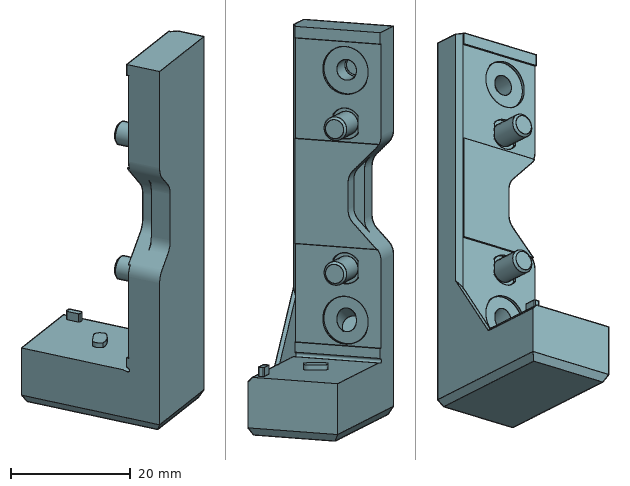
import cadquery as cq
import math

length = 26.0
width = 16.05
height = 66.0
foot_height = 9.95
foot_bevel_height = 1.3
foot_bevel_inset = 0.7

pad_x = 19.8
pad_rise = 0.3
face_x = pad_x + pad_rise
pad_spans = [(foot_height, 12.3), (29.05, 46.9), (64.0, height)]

relief_radius = 0.3
relief_x = pad_x + 0.2
relief_z = foot_height + 0.1
relief_floor_tilt = 13
relief_roof_tilt = 30

edge_bevel = 0.8
upright_bevel_run = 1.0
web_inner_y = width - edge_bevel
web_foot_x = 12.15
web_foot_z = foot_height - edge_bevel
web_slope = math.radians(53.5)

notch_z = 37.75
notch_mouth = 18.6
notch_depth = 3.8
notch_front_depth = 5.75
notch_step_x = 22.45
notch_radius = 3.0

hole_y = 6.35
counterbore_diameter = 8.1
counterbore_depth = 0.5
hole_diameter = 3.5
counterbore_x = face_x + counterbore_depth

upper_hole_z = 59.1
upper_hole_depth = 3.95
upper_hole_floor_chamfer = 0.2

lower_hole_z = 16.55
lower_hole_tilt = 30
lower_hole_depth = 3.05

pin_levels = [25.4, 50.0]
pin_diameter = 4.0
pin_tip_x = 15.05
pin_seat_depth = 3.95
pin_end_x = face_x + pin_seat_depth
pin_tip_length = 0.4
pin_tip_inset = 0.4
pocket_diameter = 5.3
pocket_width = 4.5
pocket_depth = 0.5

key_x_span = (1.25, 3.8)
key_y_span = (13.65, 14.7)
key_height = 1.5
key_corner_chamfer = 0.2

cam_x = 10.55
cam_y = 8.0
cam_turn = 22.5
cam_height = 0.85
cam_half_length = 2.05
cam_back = -1.1
cam_shoulder = 0.7
cam_crown = 1.25
cam_corner_radius = 1.0


def x_cylinder(diameter, x_start, depth, y, z):
    """Cylinder along +X."""
    return cq.Workplane("YZ", origin=(x_start, y, z)).circle(diameter / 2).extrude(depth)


def box(x_span, y_span, z_span):
    """Box between two limits on each axis."""
    sizes = [span[1] - span[0] for span in (x_span, y_span, z_span)]
    corner = (x_span[0], y_span[0], z_span[0])
    return cq.Workplane("XY").box(*sizes, centered=False).translate(corner)


def make_foot():
    """Foot block, tapered inward at the bottom on all four sides."""
    block = box((0, length), (0, width), (0, foot_height))
    return block.faces("<Z").chamfer(foot_bevel_height, foot_bevel_inset)


def make_upright():
    """Upright plate with its raised pads."""
    upright = box((face_x, length), (0, width), (foot_bevel_height, height))
    for span in pad_spans:
        upright = upright.union(box((pad_x, face_x), (0, web_inner_y), span))
    return upright


def make_edge_bevel():
    """Wedges to cut along the +Y edges of the upright's face and of the foot's top."""
    upright_wedge = (
        cq.Workplane("XY", origin=(0, 0, web_foot_z))
        .polyline([
            (face_x, web_inner_y),
            (face_x + upright_bevel_run, width),
            (face_x, width),
        ])
        .close()
        .extrude(height)
    )
    foot_wedge = (
        cq.Workplane("YZ")
        .polyline([(web_inner_y, foot_height), (width, foot_height), (width, web_foot_z)])
        .close()
        .extrude(face_x)
    )
    return upright_wedge.union(foot_wedge)


def make_web():
    """Thin triangular web in the corner at the +Y side."""
    run = face_x + upright_bevel_run - web_foot_x
    return (
        cq.Workplane("XZ", origin=(0, width, 0))
        .moveTo(web_foot_x, web_foot_z)
        .line(run, 0)
        .line(0, run * math.tan(web_slope))
        .close()
        .extrude(edge_bevel)
    )


def make_relief():
    """Groove in the inner corner: sloped floor, rounded bottom and sloped roof."""
    def on_circle(degrees):
        angle = math.radians(degrees)
        return (relief_x + relief_radius * math.cos(angle), relief_z + relief_radius * math.sin(angle))

    floor_end = on_circle(-90 - relief_floor_tilt)
    roof_start = on_circle(90 - relief_roof_tilt)
    floor_run = (foot_height - floor_end[1]) / math.tan(math.radians(relief_floor_tilt))
    roof_rise = (roof_start[0] - pad_x) * math.tan(math.radians(relief_roof_tilt))
    return (
        cq.Workplane("XZ")
        .moveTo(floor_end[0] - floor_run, foot_height)
        .lineTo(*floor_end)
        .threePointArc(on_circle(0), roof_start)
        .lineTo(pad_x, roof_start[1] + roof_rise)
        .lineTo(pad_x, foot_height)
        .close()
        .extrude(-web_inner_y)
    )


def make_notch(depth, x_start, x_end):
    """Notch with 45 degree sides and rounded corners, cut in from the -Y side."""
    half_mouth = notch_mouth / 2
    half_floor = half_mouth - depth
    margin = 2 * notch_radius
    reach = 0.65
    return (
        cq.Workplane("YZ", origin=(x_start, 0, notch_z))
        .polyline([
            (-margin, -half_mouth - margin),
            (0, -half_mouth - margin),
            (0, -half_mouth),
            (depth, -half_floor),
            (depth, half_floor),
            (0, half_mouth),
            (0, half_mouth + margin),
            (-margin, half_mouth + margin),
        ])
        .close()
        .extrude(x_end - x_start)
        .edges("|X")
        .edges(cq.selectors.BoxSelector(
            (x_start - reach, -reach, notch_z - half_mouth - reach),
            (x_end + reach, depth + reach, notch_z + half_mouth + reach),
        ))
        .fillet(notch_radius)
    )


def make_upper_hole():
    """Blind hole with a chamfered floor edge."""
    hole = x_cylinder(hole_diameter, face_x, counterbore_depth + upper_hole_depth, hole_y, upper_hole_z)
    return hole.faces(">X").chamfer(upper_hole_floor_chamfer)


def make_lower_hole():
    """Flat-bottomed hole that slopes down into the upright from the counterbore floor."""
    lead = hole_diameter
    hole = (
        cq.Workplane("YZ", origin=(-lead, 0, 0))
        .circle(hole_diameter / 2)
        .extrude(lead + lower_hole_depth)
        .rotate((0, 0, 0), (0, 1, 0), lower_hole_tilt)
        .translate((counterbore_x, hole_y, lower_hole_z))
    )
    solid_side = box((counterbore_x, length), (0, width), (0, height))
    return hole.intersect(solid_side)


def make_pin_seat(z):
    """Round pocket with two flats, and the bore that the pin sits in."""
    flats = box(
        (face_x, face_x + pocket_depth),
        (hole_y - pocket_width / 2, hole_y + pocket_width / 2),
        (z - pocket_diameter, z + pocket_diameter),
    )
    pocket = x_cylinder(pocket_diameter, face_x, pocket_depth, hole_y, z).intersect(flats)
    return pocket.union(x_cylinder(pin_diameter, face_x, pin_seat_depth, hole_y, z))


def make_key():
    """Small upright block near the -X end of the foot."""
    key = box(key_x_span, key_y_span, (foot_height, foot_height + key_height))
    return key.edges("|Z").chamfer(key_corner_chamfer)


def make_cam():
    """Flat boss with a bulging front and two rounded back corners."""
    return (
        cq.Workplane("XY")
        .moveTo(cam_shoulder, cam_half_length)
        .threePointArc((cam_crown, 0), (cam_shoulder, -cam_half_length))
        .lineTo(cam_back, -cam_half_length)
        .lineTo(cam_back, cam_half_length)
        .close()
        .extrude(cam_height)
        .edges("|Z and <X")
        .fillet(cam_corner_radius)
        .rotate((0, 0, 0), (0, 0, 1), cam_turn)
        .translate((cam_x, cam_y, foot_height))
    )


def make_bracket():
    bracket = make_foot().union(make_upright())
    bracket = bracket.cut(make_edge_bevel()).union(make_web()).cut(make_relief())
    bracket = bracket.union(make_key()).union(make_cam())
    bracket = bracket.cut(make_notch(notch_depth, pad_x, length))
    bracket = bracket.cut(make_notch(notch_front_depth, pad_x, notch_step_x))
    for z in (upper_hole_z, lower_hole_z):
        bracket = bracket.cut(x_cylinder(counterbore_diameter, face_x, counterbore_depth, hole_y, z))
    bracket = bracket.cut(make_upper_hole()).cut(make_lower_hole())
    for z in pin_levels:
        bracket = bracket.cut(make_pin_seat(z))
    return bracket


def make_pin(z):
    pin = x_cylinder(pin_diameter, pin_tip_x, pin_end_x - pin_tip_x, hole_y, z)
    return pin.faces("<X").chamfer(pin_tip_length, pin_tip_inset)


bracket = make_bracket()
pins = [make_pin(z) for z in pin_levels]

result = cq.Compound.makeCompound([bracket.val(), *[pin.val() for pin in pins]])